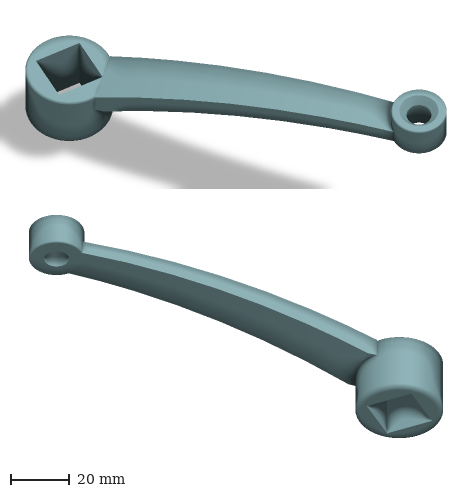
import cadquery as cq

hub_diameter = 30.0
hub_height = 21.8
hub_top_round = 0.9
hub_bottom_round = 1.8
socket_diagonal = 23.8

overall_length = 149.6
overall_height = 45.0
eye_diameter = 19.0
eye_height = 12.0
eye_edge_round = 0.6
eye_hole_diameter = 8.5
countersink_diameter = 13.3
eye_x = overall_length - (hub_diameter + eye_diameter) / 2
eye_bottom = overall_height - eye_height

arm_start_x = 11.7
arm_middle_x = 62.2
arm_end_x = 118.9
arm_start_width = 18.8
arm_end_width = 12.3
arm_start_bottom = 15.3
arm_middle_top = 34.7
arm_middle_bottom = 28.4
arm_end_top = 38.0


def make_hub():
    """Solid round hub with rounded rims."""
    hub = cq.Workplane("XY").circle(hub_diameter / 2).extrude(hub_height)
    return hub.faces(">Z").edges().fillet(hub_top_round).faces("<Z").edges().fillet(hub_bottom_round)


def make_eye():
    """Solid round eye with rounded rims."""
    eye = cq.Workplane("XY", origin=(eye_x, 0, eye_bottom)).circle(eye_diameter / 2).extrude(eye_height)
    return eye.edges("%CIRCLE").fillet(eye_edge_round)


def make_arm():
    """Arched side profile, level underneath where it enters the hub, trimmed to a tapered plan outline."""
    arch = (
        cq.Workplane("XZ")
        .moveTo(arm_start_x, hub_height)
        .threePointArc((arm_middle_x, arm_middle_top), (arm_end_x, arm_end_top))
        .lineTo(arm_end_x, eye_bottom)
        .threePointArc((arm_middle_x, arm_middle_bottom), (hub_diameter / 2, arm_start_bottom))
        .lineTo(arm_start_x, arm_start_bottom)
        .close()
        .extrude(hub_diameter / 2, both=True)
    )
    taper = (
        cq.Workplane("XY")
        .moveTo(arm_start_x, -arm_start_width / 2)
        .lineTo(arm_end_x, -arm_end_width / 2)
        .lineTo(arm_end_x, arm_end_width / 2)
        .lineTo(arm_start_x, arm_start_width / 2)
        .close()
        .extrude(overall_height)
    )
    return arch.intersect(taper)


def make_socket():
    """Square through-socket with its corners on the X and Y axes."""
    return cq.Workplane("XY").polygon(4, socket_diagonal).extrude(overall_height)


def make_eye_hole():
    """Through-hole with a 45 degree countersink in the top of the eye."""
    return (
        cq.Workplane("XZ", origin=(eye_x, 0, 0))
        .lineTo(eye_hole_diameter / 2, 0)
        .lineTo(eye_hole_diameter / 2, overall_height - (countersink_diameter - eye_hole_diameter) / 2)
        .lineTo(countersink_diameter / 2, overall_height)
        .lineTo(0, overall_height)
        .close()
        .revolve(360, (0, 0, 0), (0, 1, 0))
    )


result = make_hub().union(make_arm()).union(make_eye()).cut(make_socket()).cut(make_eye_hole())